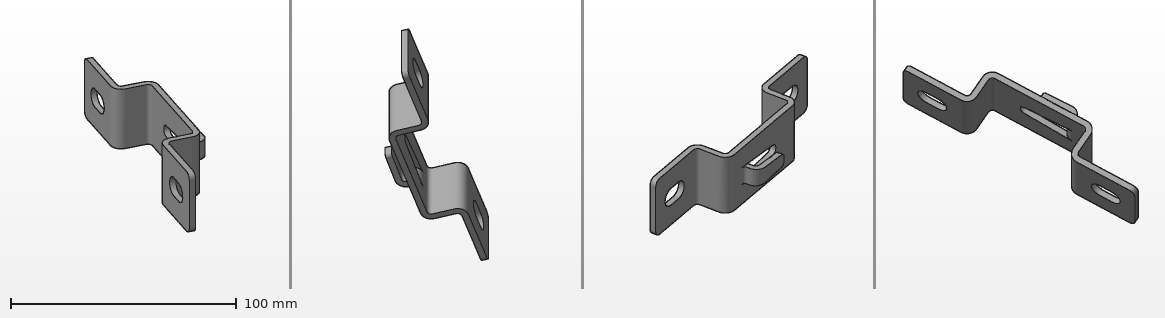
import cadquery as cq
import math

length = 120
width = 30
thickness = 3.0
bend_inner = 2.0
bend_outer = bend_inner + thickness
hat_height = 20.0
hat_half_width = 28.0
corner_radius = 3.0

slot_length = 15.0
slot_width = 9.0
slot_offset = 45.0

total_height = 28.0
tongue_outer_x = 15.5
tongue_tip_x = -4.5
root_bend_inner = 1.5
root_bend_outer = root_bend_inner + thickness
tongue_root_x = tongue_outer_x + root_bend_inner
window_tip_x = -9.7
root_width = 9.1
window_tip_width = 5.0
window_tip_radius = 2.4
tongue_tip_width = 6.4
tongue_tip_radius = 2.0

bend_mid = math.sqrt(0.5)
hat_inner_y = hat_height - thickness


def arc_to(path, center, radius, x_sign, y_sign, end):
    """Add a quarter arc; the signs say on which diagonal of its centre it lies."""
    middle = (
        center[0] + x_sign * radius * bend_mid,
        center[1] + y_sign * radius * bend_mid,
    )
    return path.threePointArc(middle, end)


def make_strap():
    """Hat-shaped sheet with two flanges, rounded at every bend."""
    half = length / 2
    wall_inner_x = hat_half_width - thickness
    foot_x = hat_half_width + bend_inner
    top_x = wall_inner_x - bend_inner
    foot_center_y = thickness + bend_inner
    top_center_y = hat_inner_y - bend_inner

    path = cq.Workplane("XY").moveTo(0, hat_height).lineTo(top_x, hat_height)
    path = arc_to(path, (top_x, top_center_y), bend_outer, 1, 1, (hat_half_width, top_center_y))
    path = path.lineTo(hat_half_width, foot_center_y)
    path = arc_to(path, (foot_x, foot_center_y), bend_inner, -1, -1, (foot_x, thickness))
    path = path.lineTo(half, thickness).lineTo(half, 0).lineTo(foot_x, 0)
    path = arc_to(path, (foot_x, foot_center_y), bend_outer, -1, -1, (wall_inner_x, foot_center_y))
    path = path.lineTo(wall_inner_x, top_center_y)
    path = arc_to(path, (top_x, top_center_y), bend_inner, 1, 1, (top_x, hat_inner_y))
    half_strap = path.lineTo(0, hat_inner_y).close().extrude(width / 2, both=True)
    strap = half_strap.union(half_strap.mirror("YZ"))
    return strap.edges("|Y").edges("<X or >X").fillet(corner_radius)


def make_flange_slots():
    """Cutters for the slots through both flanges."""
    return (
        cq.Workplane("XZ")
        .pushPoints([(-slot_offset, 0), (slot_offset, 0)])
        .slot2D(slot_length, slot_width)
        .extrude(-thickness)
    )


def make_taper(tip_x, tip_width, tip_radius, bottom_y, top_y):
    """Tapered block along Y, widest at the tongue root, with a rounded tip."""
    half_root = root_width / 2
    half_tip = tip_width / 2
    return (
        cq.Workplane("XZ", origin=(0, bottom_y, 0))
        .polyline([
            (tongue_root_x, half_root),
            (tip_x, half_tip),
            (tip_x, -half_tip),
            (tongue_root_x, -half_root),
        ])
        .close()
        .extrude(bottom_y - top_y)
        .edges("|Y and <X")
        .fillet(tip_radius)
    )


def make_tongue():
    """S-bent tongue rising from the window end and running toward -X."""
    inner_x = tongue_outer_x - thickness
    root_center = (tongue_root_x, hat_height + root_bend_inner)
    arm_bottom = total_height - thickness
    arm_center = (inner_x - bend_inner, arm_bottom - bend_inner)

    path = cq.Workplane("XY").moveTo(tongue_root_x, hat_inner_y)
    path = arc_to(path, root_center, root_bend_outer, -1, -1, (inner_x, root_center[1]))
    path = path.lineTo(inner_x, arm_center[1])
    path = arc_to(path, arm_center, bend_inner, 1, 1, (arm_center[0], arm_bottom))
    path = path.lineTo(tongue_tip_x, arm_bottom).lineTo(tongue_tip_x, total_height)
    path = path.lineTo(arm_center[0], total_height)
    path = arc_to(path, arm_center, bend_outer, 1, 1, (tongue_outer_x, arm_center[1]))
    path = path.lineTo(tongue_outer_x, root_center[1])
    path = arc_to(path, root_center, root_bend_inner, -1, -1, (tongue_root_x, hat_height))
    sheet = path.close().extrude(root_width / 2, both=True)
    taper = make_taper(tongue_tip_x, tongue_tip_width, tongue_tip_radius, hat_inner_y, total_height)
    return sheet.intersect(taper)


window = make_taper(window_tip_x, window_tip_width, window_tip_radius, hat_inner_y, hat_height)
result = make_strap().cut(make_flange_slots()).cut(window).union(make_tongue())